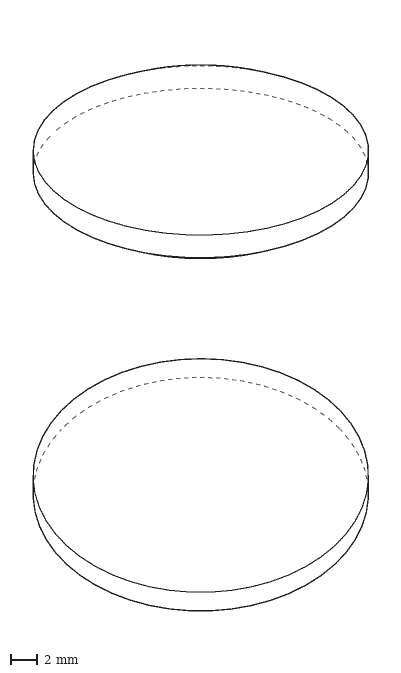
import cadquery as cq

diameter = 25.4
center_thickness = 10.0
edge_thickness = 1.98

radius = diameter / 2
half_center = center_thickness / 2
half_edge = edge_thickness / 2
cap_height = half_center - half_edge
sphere_radius = (radius**2 + cap_height**2) / (2 * cap_height)

mid_radius = radius / 2
mid_height = half_center - sphere_radius + (sphere_radius**2 - mid_radius**2) ** 0.5

half_section = (
    cq.Workplane("XZ")
    .moveTo(0, -half_center)
    .threePointArc((mid_radius, -mid_height), (radius, -half_edge))
    .lineTo(radius, half_edge)
    .threePointArc((mid_radius, mid_height), (0, half_center))
    .close()
)

result = half_section.revolve(360, (0, 0), (0, 1))